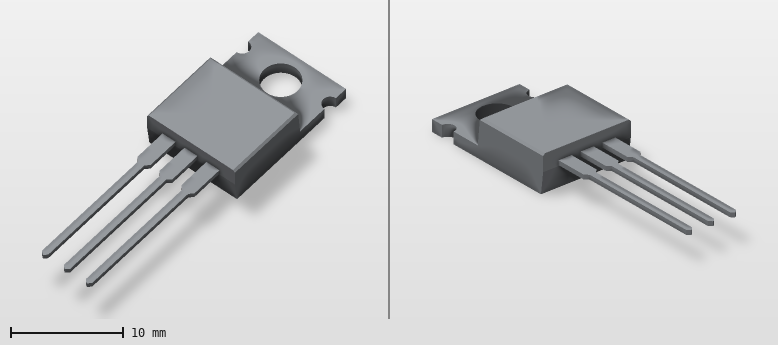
import cadquery as cq

package_width = 10.16
package_height = 4.21
overall_length = 32.89
embedment = 1.0

tab_length = 6.35
tab_thickness = 1.3
hole_diameter = 3.84
hole_distance = 2.95
notch_radius = 0.79
notch_distance = 2.19

body_end = 15.4
body_foot_end = 15.1
parting_height = 2.36
back_face_lean = 0.3
top_chamfer = 0.22

lead_count = 3
lead_pitch = 2.54
lead_thickness = 0.5
lead_bottom = 2.45
lead_wide_width = 1.5
lead_narrow_width = 0.72
lead_tip_width = 0.1
lead_shoulder_start = 18.87


def make_tab():
    """Flat tab with a mounting hole and a round notch in each side."""
    tab = (
        cq.Workplane("XY")
        .box(package_width, tab_length + embedment, tab_thickness, centered=(True, False, False))
        .translate((0, -tab_length - embedment, 0))
    )
    hole = cq.Workplane("XY").center(0, -hole_distance).circle(hole_diameter / 2).extrude(tab_thickness)
    notches = (
        cq.Workplane("XY")
        .pushPoints([(side * package_width / 2, -notch_distance) for side in (-1, 1)])
        .circle(notch_radius)
        .extrude(tab_thickness)
    )
    return tab.cut(hole).cut(notches)


def make_body():
    """Side profile with a leaning back face and an undercut foot, chamfered along three top edges."""
    body = (
        cq.Workplane("YZ")
        .moveTo(-tab_length, 0)
        .lineTo(-tab_length, tab_thickness)
        .lineTo(-tab_length - back_face_lean, package_height)
        .lineTo(-body_end, package_height)
        .lineTo(-body_end, parting_height)
        .lineTo(-body_foot_end, 0)
        .close()
        .extrude(package_width / 2, both=True)
    )
    side_and_back_edges = body.faces(">Z").edges("not <Y")
    return side_and_back_edges.chamfer(top_chamfer)


def make_lead(x_center):
    """Flat lead: wide root, tapered shoulder, narrow leg and blunt point. Both tapers are at 45 degrees."""
    wide = lead_wide_width / 2
    narrow = lead_narrow_width / 2
    tip = lead_tip_width / 2
    shoulder_end = lead_shoulder_start + wide - narrow
    point_start = overall_length - (narrow - tip)
    right_side = [
        (wide, -body_end + embedment),
        (wide, -lead_shoulder_start),
        (narrow, -shoulder_end),
        (narrow, -point_start),
        (tip, -overall_length),
    ]
    left_side = [(-x, y) for x, y in reversed(right_side)]
    return (
        cq.Workplane("XY")
        .polyline(right_side + left_side)
        .close()
        .extrude(lead_thickness)
        .translate((x_center, 0, lead_bottom))
    )


part = make_tab().union(make_body())
for index in range(lead_count):
    lead_x = (index - (lead_count - 1) / 2) * lead_pitch
    part = part.union(make_lead(lead_x))

result = part.solids()